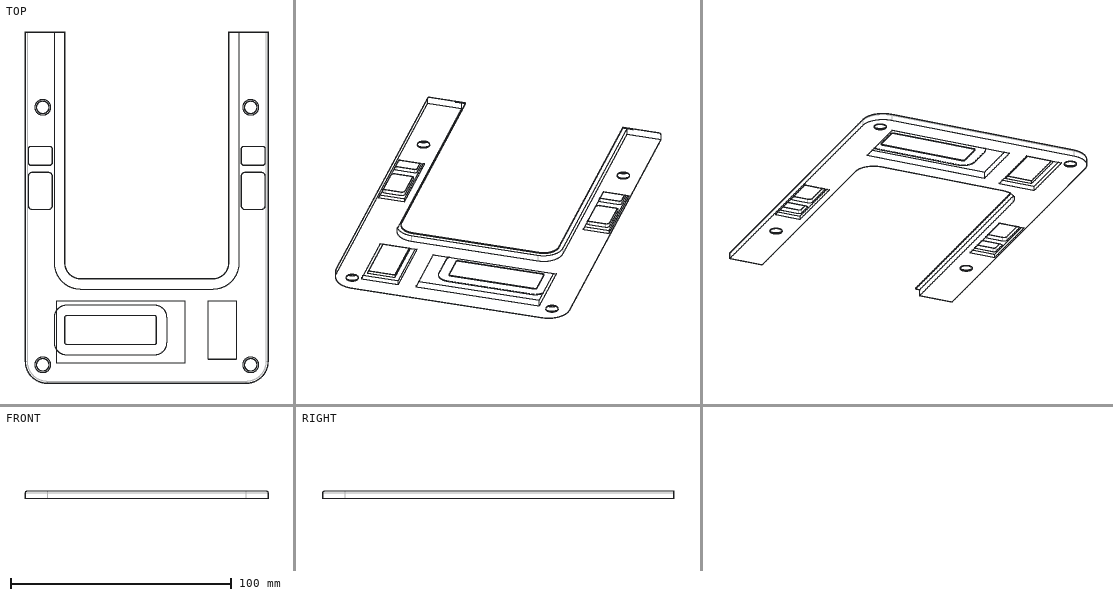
import cadquery as cq
WIDTH = 110.0
LENGTH = 159.0
THICKNESS = 3.5
CORNER_RADIUS = 10.0
EDGE_ROUND = 1.0
BACK_Y = LENGTH / 2

INLAY_BORDER = 4.8

OPENING_WIDTH = 74.1
OPENING_FRONT_Y = -32.1
OPENING_RADIUS = 7.2
OPENING_INLAY_BOTTOM = THICKNESS - 0.5
LEDGE_OVERHANG = 1.9

WINDOW_LENGTH = 41.3
WINDOW_WIDTH = 13.0
WINDOW_RADIUS = 0.8
WINDOW_INLAY_BOTTOM = THICKNESS - 0.4
WINDOW_CENTER = ((WINDOW_LENGTH - OPENING_WIDTH) / 2, -55.3)

DISPLAY_LENGTH = 58.0
DISPLAY_WIDTH = 28.0
DISPLAY_CENTER = (-11.8, -56.3)

CUTOUT_RECESS_TOP = THICKNESS - 1.5
SLOT_RECESS_TOP = THICKNESS - 1.9
RECESS_MARGIN = 2.2

CUTOUT_WIDTH = 12.9
CUTOUT_LENGTH = 26.2
CUTOUT_CENTER = (34.2, -55.3)

SLOT_WIDTH = 10.7
SLOT_X = 48.2
SLOTS = [(23.5, 8.5, 1.0), (7.6, 16.7, 1.6)]
SLOT_RECESS_WIDTH = 12.1

SCREW_DIAMETER = 5.5
HEAD_DIAMETER = 7.2
HEAD_DEPTH = 2.4
SCREW_X = 47.0
SCREW_YS = (45.5, -71.0)


def block(length, width, center, bottom, top, radius=0):
    """Upright block with its four vertical edges rounded."""
    solid = cq.Workplane("XY", origin=(*center, bottom)).rect(length, width).extrude(top - bottom)
    return solid.edges("|Z").fillet(radius) if radius else solid


def opening_block(offset, bottom, top):
    """Block in the shape of the large opening, grown outwards by offset."""
    front = OPENING_FRONT_Y - offset
    center = (0, (BACK_Y + front) / 2)
    solid = block(OPENING_WIDTH + 2 * offset, BACK_Y - front, center, bottom, top)
    return solid.edges("|Z and <Y").fillet(OPENING_RADIUS + offset)


def window_block(offset, bottom, top):
    """Block in the shape of the display window, grown outwards by offset."""
    length = WINDOW_LENGTH + 2 * offset
    width = WINDOW_WIDTH + 2 * offset
    return block(length, width, WINDOW_CENTER, bottom, top, WINDOW_RADIUS + offset)


def opening_seat():
    return opening_block(INLAY_BORDER, OPENING_INLAY_BOTTOM, THICKNESS)


def window_seat():
    return window_block(INLAY_BORDER, WINDOW_INLAY_BOTTOM, THICKNESS)


def screw_hole(x, y):
    radius = SCREW_DIAMETER / 2
    head_radius = HEAD_DIAMETER / 2
    cone_depth = head_radius - radius
    profile = [
        (0, 0),
        (radius, 0),
        (radius, THICKNESS - HEAD_DEPTH - cone_depth),
        (head_radius, THICKNESS - HEAD_DEPTH),
        (head_radius, THICKNESS),
        (0, THICKNESS),
    ]
    hole = cq.Workplane("XZ").polyline(profile).close().revolve(360, (0, 0, 0), (0, 1, 0))
    return hole.translate((x, y, 0))


def plain_frame():
    frame = block(WIDTH, LENGTH, (0, 0), 0, THICKNESS)
    frame = frame.edges("|Z and <Y").fillet(CORNER_RADIUS)
    return frame.faces("<Y").edges(">Z").fillet(EDGE_ROUND)


def cut_opening(frame):
    frame = frame.cut(opening_block(LEDGE_OVERHANG, 0, THICKNESS))
    return frame.cut(opening_seat())


def cut_display(frame):
    frame = frame.cut(block(DISPLAY_LENGTH, DISPLAY_WIDTH, DISPLAY_CENTER, 0, WINDOW_INLAY_BOTTOM))
    return frame.cut(window_seat())


def cut_cutout(frame):
    frame = frame.cut(block(CUTOUT_WIDTH, CUTOUT_LENGTH, CUTOUT_CENTER, 0, THICKNESS))
    recess_width = CUTOUT_WIDTH + 2 * RECESS_MARGIN
    recess_length = CUTOUT_LENGTH + 2 * RECESS_MARGIN
    return frame.cut(block(recess_width, recess_length, CUTOUT_CENTER, 0, CUTOUT_RECESS_TOP))


def cut_slots(frame, x):
    for y, length, radius in SLOTS:
        frame = frame.cut(block(SLOT_WIDTH, length, (x, y), 0, THICKNESS, radius))
    back = max(y + length / 2 for y, length, _ in SLOTS) + RECESS_MARGIN
    front = min(y - length / 2 for y, length, _ in SLOTS) - RECESS_MARGIN
    return frame.cut(block(SLOT_RECESS_WIDTH, back - front, (x, (back + front) / 2), 0, SLOT_RECESS_TOP))


def make_frame():
    frame = cut_cutout(cut_display(cut_opening(plain_frame())))
    for side in (-1, 1):
        frame = cut_slots(frame, side * SLOT_X)
        for y in SCREW_YS:
            frame = frame.cut(screw_hole(side * SCREW_X, y))
    return frame


def make_opening_inlay():
    return opening_seat().cut(opening_block(0, OPENING_INLAY_BOTTOM, THICKNESS))


def make_window_inlay():
    return window_seat().cut(window_block(0, WINDOW_INLAY_BOTTOM, THICKNESS))


frame = make_frame()
opening_inlay = make_opening_inlay()
window_inlay = make_window_inlay()

result = cq.Compound.makeCompound([frame.val(), opening_inlay.val(), window_inlay.val()])